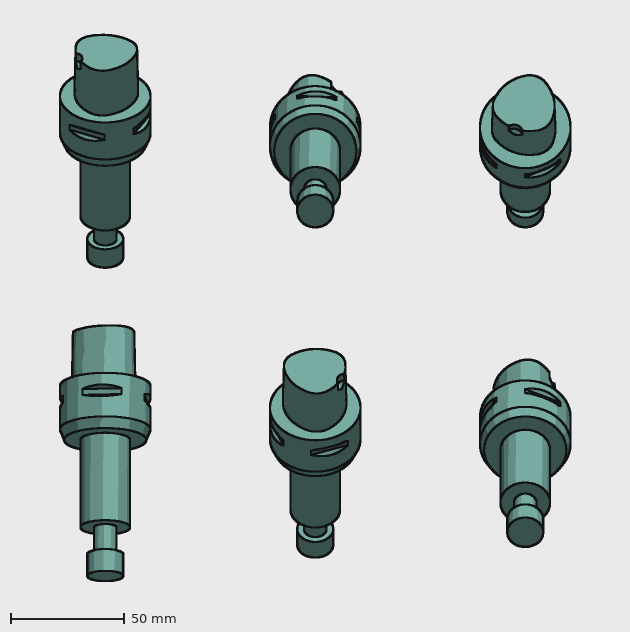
import cadquery as cq
import math

total_height = 111.5
head_height = 10.0
stem_height = 12.4
arbor_height = 40.3
cone_height = 4.8
shank_height = 24.0
shank_straight_height = 2.2

head_diameter = 16.0
stem_diameter = 10.0
arbor_diameter = 22.0
flange_diameter = 40.0
cone_end_diameter = 36.2

lobe_radius = 8.9
lobe_center_distance = 5.9
shank_taper_angle = 1.1

slot_count = 4
slot_floor_distance = 18.1
slot_floor_height = 2.7
slot_flare = 1.3
slot_floor_depth = 8.0

notch_radius = 3.9
notch_center_y = -14.8
notch_depth = 4.1
notch_tip_height = 3.5

stem_base = head_height
arbor_base = stem_base + stem_height
cone_base = arbor_base + arbor_height
flange_base = cone_base + cone_height
flange_top = total_height - shank_height


def make_turned_body():
    """Head, stem, arbor and flange as one revolved profile."""
    outline = [
        (0, 0),
        (head_diameter / 2, 0),
        (head_diameter / 2, stem_base),
        (stem_diameter / 2, stem_base),
        (stem_diameter / 2, arbor_base),
        (arbor_diameter / 2, arbor_base),
        (arbor_diameter / 2, cone_base),
        (cone_end_diameter / 2, cone_base),
        (flange_diameter / 2, flange_base),
        (flange_diameter / 2, flange_top),
        (0, flange_top),
    ]
    return cq.Workplane("XZ").polyline(outline).close().revolve(360, (0, 0), (0, 1))


def polar_point(radius, angle, center=(0, 0)):
    turn = math.radians(angle)
    return center[0] + radius * math.cos(turn), center[1] + radius * math.sin(turn)


def shank_outline(level):
    """Rounded three-lobed outline with a lobe toward +Y."""
    flank_radius = lobe_radius + math.sqrt(3) * lobe_center_distance
    flank_distance = flank_radius - lobe_center_distance
    start = polar_point(lobe_radius, 60, (0, lobe_center_distance))
    outline = cq.Workplane("XY").workplane(offset=level).moveTo(*start)
    for lobe_angle in (90, 210, 330):
        lobe_center = polar_point(lobe_center_distance, lobe_angle)
        lobe_peak = polar_point(lobe_radius, lobe_angle, lobe_center)
        lobe_end = polar_point(lobe_radius, lobe_angle + 30, lobe_center)
        outline = outline.threePointArc(lobe_peak, lobe_end)

        next_center = polar_point(lobe_center_distance, lobe_angle + 120)
        flank_middle = polar_point(flank_distance, lobe_angle + 60)
        flank_end = polar_point(lobe_radius, lobe_angle + 90, next_center)
        outline = outline.threePointArc(flank_middle, flank_end)
    return outline.close()


def make_shank():
    taper_base = flange_top + shank_straight_height
    straight = shank_outline(flange_top).extrude(shank_straight_height)
    tapered = shank_outline(taper_base).extrude(total_height - taper_base, taper=shank_taper_angle)
    return straight.union(tapered)


def make_slot(angle):
    """Straight slot across the flange, widening outward from its flat floor."""
    flange_radius = flange_diameter / 2
    flare_slope = slot_flare / (flange_radius - slot_floor_distance)
    clearance = 1.1
    outer_distance = flange_radius + clearance
    floor_half = slot_floor_height / 2
    outer_half = floor_half + flare_slope * (outer_distance - slot_floor_distance)
    middle = flange_top - slot_floor_depth
    section = [
        (slot_floor_distance, middle - floor_half),
        (outer_distance, middle - outer_half),
        (outer_distance, middle + outer_half),
        (slot_floor_distance, middle + floor_half),
    ]
    slot = cq.Workplane("XZ").polyline(section).close().extrude(flange_radius, both=True)
    return slot.rotate((0, 0, 0), (0, 0, 1), angle)


def make_notch():
    """Vertical drill shape with a conical tip, cutting into the shank side."""
    shoulder = total_height - notch_depth
    outline = [
        (0, shoulder - notch_tip_height),
        (notch_radius, shoulder),
        (notch_radius, total_height),
        (0, total_height),
    ]
    drill = cq.Workplane("XZ").polyline(outline).close().revolve(360, (0, 0), (0, 1))
    return drill.translate((0, notch_center_y, 0))


result = make_turned_body().union(make_shank())
for slot_index in range(slot_count):
    result = result.cut(make_slot(45 + slot_index * 360 / slot_count))
result = result.cut(make_notch())